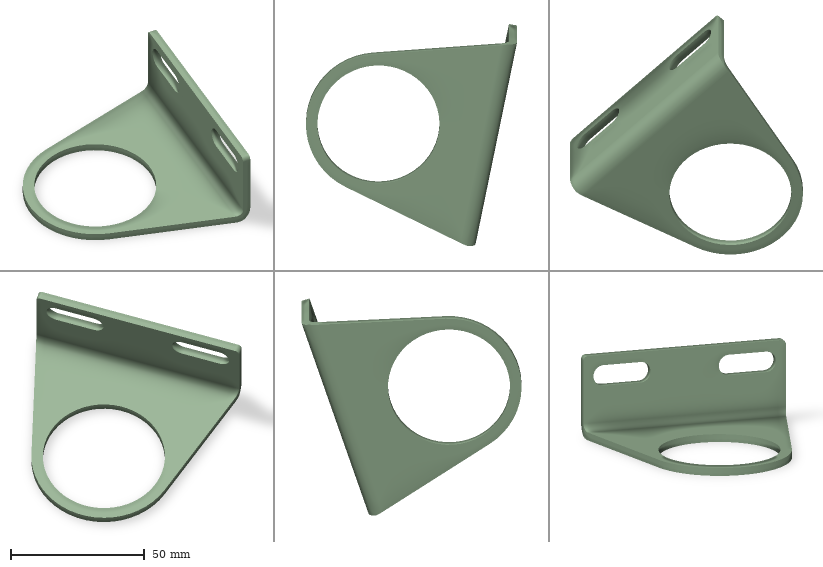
import cadquery as cq
import math

width = 79.4
depth = 71.9
height = 31.75
thickness = 3.0
inner_bend_radius = 2.8
outer_bend_radius = inner_bend_radius + thickness
corner_radius = 1.6

ring_radius = 27.1
hole_radius = 22.8

slot_length = 22.4
slot_width = 7.9
slot_spacing = 49.2
slot_drop = 7.9

front_y = -ring_radius
back_y = front_y + depth
upright_front_y = back_y - thickness


def make_bent_sheet():
    """L-shaped sheet with concentric bend radii, extruded across the width."""
    profile = (
        cq.Workplane("YZ")
        .moveTo(front_y, 0)
        .lineTo(back_y - outer_bend_radius, 0)
        .radiusArc((back_y, outer_bend_radius), -outer_bend_radius)
        .lineTo(back_y, height)
        .lineTo(upright_front_y, height)
        .lineTo(upright_front_y, outer_bend_radius)
        .radiusArc((back_y - outer_bend_radius, thickness), inner_bend_radius)
        .lineTo(front_y, thickness)
        .close()
    )
    return profile.extrude(width / 2, both=True)


def make_plan_outline():
    """Full width at the upright, with straight sides tangent to the ring."""
    half_width = width / 2
    corner_distance = math.hypot(half_width, upright_front_y)
    corner_angle = math.atan2(upright_front_y, half_width)
    tangent_angle = corner_angle - math.acos(ring_radius / corner_distance)
    tangent_x = ring_radius * math.cos(tangent_angle)
    tangent_y = ring_radius * math.sin(tangent_angle)
    return (
        cq.Workplane("XY")
        .moveTo(-half_width, back_y)
        .lineTo(-half_width, upright_front_y)
        .lineTo(-tangent_x, tangent_y)
        .threePointArc((0, front_y), (tangent_x, tangent_y))
        .lineTo(half_width, upright_front_y)
        .lineTo(half_width, back_y)
        .close()
        .extrude(height)
    )


def make_slots():
    """Cutters for the pair of horizontal slots through the upright."""
    return (
        cq.Workplane("XZ", origin=(0, back_y, height - slot_drop))
        .pushPoints([(-slot_spacing / 2, 0), (slot_spacing / 2, 0)])
        .slot2D(slot_length, slot_width)
        .extrude(thickness)
    )


bracket = make_bent_sheet().intersect(make_plan_outline())
bracket = bracket.edges("|Y and >Z").fillet(corner_radius)
ring_hole = cq.Workplane("XY").circle(hole_radius).extrude(thickness)
result = bracket.cut(ring_hole).cut(make_slots())